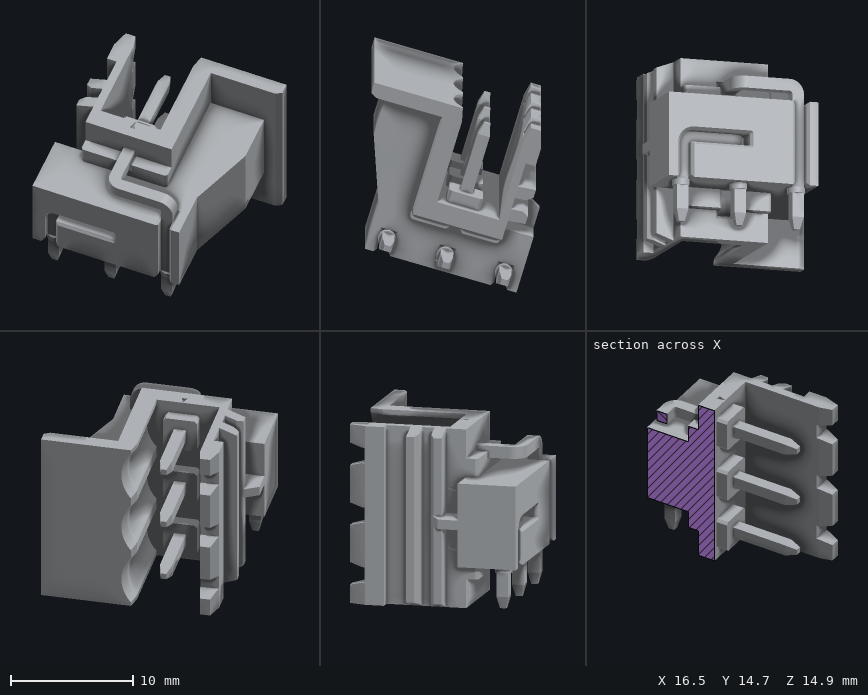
import cadquery as cq
import math


pitch = 5.0
row = (-pitch, 0, pitch)
wire = 1.0
bend_inner = 0.2
bend_radius = bend_inner + wire / 2
bend_outer = bend_inner + wire
point_length = 1.0
point_width = 0.5
contact_tip_y = 8.55
solder_tip_z = -7.0
solder_y = -3.5
lower_riser_y = -0.23
lower_bridge_z = -pitch / 2
flare = 0.22

height = 14.95
shell_half = 3.8
cavity_left = -3.1
cavity_right = 2.2
floor_top = 1.55
rim_y = 9.75
lead_in_depth = 1.1
lead_in_width = 0.25
hook_x = -4.65
hook_bottom_y = 6.75
hook_taper_depth = 1.4
hook_taper_width = 0.45
flange_end = 10.0
flange_thickness = 1.2
flange_chamfer_x = 0.5
flange_chamfer_y = 0.3

bore_radius = 3.0
boss_side = 2.85
boss_height = 1.0
boss_chamfer = 0.22
notch_mouth = 1.9
notch_bottom = 1.3
notch_depth = 1.35

pad_depth = 1.0
pad_half_height = 5.05
pad_corner = 0.3
block_half_height = 3.5
block_left = -6.5
block_right = 6.45
block_front = -4.9
web_right = 8.5
web_bend_y = 4.5
pocket_end = 0.6

rib_x = -5.3
rib_width = 1.0
rib_low_y = 1.7
rib_high_y = 3.7
rib_chamfer_x = 0.5
rib_chamfer_y = 0.33
rib_end_drop = 0.55
gusset_thickness = 0.8
arrow_length = 0.72
arrow_half_width = 0.23
arrow_depth = 0.2

collar_diameter = 1.45
collar_height = 0.5


def box(x0, x1, y0, y1, z0, z1):
    return cq.Workplane("XY").box(x1 - x0, y1 - y0, z1 - z0, centered=False).translate((x0, y0, z0))


def plan_prism(points, half_height):
    """Prism with the given XY outline, centred on Z = 0."""
    return cq.Workplane("XY").polyline(points).close().extrude(half_height, both=True)


def unit_direction(start, end):
    return (cq.Vector(*end) - cq.Vector(*start)).normalized()


def wire_point(tip, direction):
    """Tapered wire end, from its full square section to the blunt tip."""
    base = cq.Vector(*tip) - direction * point_length
    plane = cq.Plane(origin=base.toTuple(), xDir=(1, 0, 0), normal=direction.toTuple())
    return (cq.Workplane(plane).rect(wire, wire).workplane(offset=point_length)
            .rect(point_width, point_width).loft(combine=True))


def bent_wire(corners):
    """Square wire along a line of axis-parallel legs, with rounded bends and tapered ends."""
    directions = [unit_direction(a, b) for a, b in zip(corners, corners[1:])]
    start = cq.Vector(*corners[0]) + directions[0] * point_length
    end = cq.Vector(*corners[-1]) - directions[-1] * point_length
    edges = []
    position = start
    for corner, incoming, outgoing in zip(corners[1:], directions, directions[1:]):
        bend_start = cq.Vector(*corner) - incoming * bend_radius
        bend_end = cq.Vector(*corner) + outgoing * bend_radius
        chord_offset = (outgoing - incoming) * (bend_radius * (1 - math.sqrt(0.5)))
        bend_middle = cq.Vector(*corner) + chord_offset
        edges.append(cq.Edge.makeLine(position, bend_start))
        edges.append(cq.Edge.makeThreePointArc(bend_start, bend_middle, bend_end))
        position = bend_end
    edges.append(cq.Edge.makeLine(position, end))
    path = cq.Workplane(cq.Wire.assembleEdges(edges))
    plane = cq.Plane(origin=start.toTuple(), xDir=(1, 0, 0), normal=directions[0].toTuple())
    body = cq.Workplane(plane).rect(wire, wire).sweep(path)
    body = body.union(wire_point(corners[0], directions[0] * -1))
    return body.union(wire_point(corners[-1], directions[-1]))


def upper_pin():
    return bent_wire([(0, contact_tip_y, pitch), (0, solder_y, pitch),
                      (pitch, solder_y, pitch), (pitch, solder_y, solder_tip_z)])


def middle_pin():
    return bent_wire([(0, contact_tip_y, 0), (0, solder_y, 0),
                      (-pitch, solder_y, 0), (-pitch, solder_y, solder_tip_z)])


def lower_pin():
    return bent_wire([(0, contact_tip_y, -pitch), (0, lower_riser_y, -pitch),
                      (0, lower_riser_y, lower_bridge_z), (0, solder_y, lower_bridge_z),
                      (0, solder_y, solder_tip_z)])


def collar(x):
    blank = (cq.Workplane("XY").workplane(offset=-block_half_height - collar_height)
             .center(x, solder_y).circle(collar_diameter / 2).extrude(collar_height))
    half = wire / 2
    return blank.cut(box(x - half, x + half, solder_y - half, solder_y + half,
                         -block_half_height - collar_height, -block_half_height))


def shell():
    """U-shaped socket with the latch hook on the left and the flange on the right."""
    flange_bottom = rim_y - flange_thickness
    lead_in_y = rim_y - lead_in_depth
    outline = [
        (-shell_half, 0), (shell_half, 0), (shell_half, flange_bottom),
        (flange_end - flange_chamfer_x, flange_bottom),
        (flange_end, flange_bottom + flange_chamfer_y), (flange_end, rim_y),
        (cavity_right + lead_in_width, rim_y), (cavity_right, lead_in_y),
        (cavity_right, floor_top), (cavity_left, floor_top), (cavity_left, lead_in_y),
        (cavity_left - lead_in_width, rim_y), (hook_x + hook_taper_width, rim_y),
        (hook_x, rim_y - hook_taper_depth), (hook_x, hook_bottom_y), (-shell_half, hook_bottom_y),
    ]
    return plan_prism(outline, height / 2)


def bore(z):
    """Round seat for one plug contact, with a conical lead-in at the rim."""
    outline = [(0, floor_top), (bore_radius, floor_top), (bore_radius, rim_y - lead_in_depth),
               (bore_radius + lead_in_width, rim_y), (0, rim_y)]
    seat = cq.Workplane("XY").polyline(outline).close().revolve(360, (0, 0), (0, 1))
    return seat.translate((0, 0, z))


def boss(z):
    half = boss_side / 2
    block = box(-half, half, floor_top, floor_top + boss_height, z - half, z + half)
    return block.edges("|Y").chamfer(boss_chamfer)


def hook_notch(z):
    """Gap through the hook tip that tapers along the lead-in and ends in a straight slot."""
    mouth = notch_mouth / 2
    bottom = notch_bottom / 2
    taper_y = rim_y - lead_in_depth
    floor_y = rim_y - notch_depth
    outline = [(rim_y, -mouth), (rim_y, mouth), (taper_y, bottom),
               (floor_y, bottom), (floor_y, -bottom), (taper_y, -bottom)]
    notch = (cq.Workplane("YZ").workplane(offset=hook_x)
             .polyline(outline).close().extrude(cavity_left - hook_x))
    return notch.translate((0, 0, z))


def pad():
    block = box(-shell_half, shell_half, -pad_depth, 0, -pad_half_height, pad_half_height)
    return block.edges("|Z and <Y").fillet(pad_corner)


def pin_block():
    """Block that holds the solder pins, with the web that stiffens the right wall."""
    outline = [(block_left, block_front), (block_right, block_front), (block_right, -pad_depth),
               (web_right, web_bend_y), (web_right, rim_y - flange_thickness),
               (shell_half, rim_y - flange_thickness), (shell_half, 0), (block_left, 0)]
    return plan_prism(outline, block_half_height)


def rib(outline):
    """Rib along the left wall; its ends fall away towards the free edge."""
    root_z = height / 2
    tip_z = root_z - rib_end_drop
    side = (cq.Workplane("XZ")
            .polyline([(-shell_half, -root_z), (-shell_half, root_z), (rib_x, tip_z), (rib_x, -tip_z)])
            .close().extrude(-rim_y))
    return plan_prism(outline, root_z).intersect(side)


def ribs():
    chamfer_x = rib_x + rib_chamfer_x
    low_top = rib_low_y + rib_width
    low = [(-shell_half, rib_low_y), (rib_x, rib_low_y), (rib_x, low_top - rib_chamfer_y),
           (chamfer_x, low_top), (-shell_half, low_top)]
    high_top = rib_high_y + rib_width
    high = [(-shell_half, rib_high_y), (chamfer_x, rib_high_y), (rib_x, rib_high_y + rib_chamfer_y),
            (rib_x, high_top), (-shell_half, high_top)]
    return rib(low).union(rib(high))


def gusset():
    top = rib_low_y + rib_width
    outline = [(block_left, 0), (block_left, rib_low_y), (rib_x + rib_chamfer_x, top),
               (-shell_half, top), (-shell_half, 0)]
    return plan_prism(outline, gusset_thickness / 2)


def arrow_marks():
    """Engraved arrows: one on the top face and two on the left wall."""
    base_y = floor_top - arrow_length
    top = (cq.Workplane("XY").workplane(offset=height / 2 - arrow_depth)
           .polyline([(-arrow_half_width, base_y), (arrow_half_width, base_y), (0, floor_top)])
           .close().extrude(arrow_depth))
    side = (cq.Workplane("YZ").workplane(offset=-shell_half)
            .polyline([(base_y, -arrow_half_width), (base_y, arrow_half_width), (floor_top, 0)])
            .close().extrude(arrow_depth))
    marks = top
    for z in (-pitch / 2, pitch / 2):
        marks = marks.union(side.translate((0, 0, z)))
    return marks


def flared_mouth(origin, inward):
    """Square lead-in around a wire opening, narrowing along the inward normal."""
    plane = cq.Plane(origin=origin, xDir=(1, 0, 0), normal=inward)
    mouth = wire + 2 * flare
    return (cq.Workplane(plane).rect(mouth, mouth).workplane(offset=flare)
            .rect(wire, wire).loft(combine=True))


def flared_slot(x, front_y, back_y, z0, z1):
    """Vertical wire slot that is open to the front, with chamfered front edges."""
    half = wire / 2
    mouth = half + flare
    outline = [(x - mouth, front_y), (x + mouth, front_y), (x + half, front_y + flare),
               (x + half, back_y), (x - half, back_y), (x - half, front_y + flare)]
    return cq.Workplane("XY").workplane(offset=z0).polyline(outline).close().extrude(z1 - z0)


def slot_edge_chamfer(x, z, inward, front_y, back_y):
    """Chamfer along both edges where a slot opens onto a top (inward = -1) or bottom (+1) face."""
    half = wire / 2
    mouth = half + flare
    root_z = z + inward * flare
    outline = [(x - mouth, z), (x + mouth, z), (x + half, root_z), (x - half, root_z)]
    return cq.Workplane("XZ", origin=(0, back_y, 0)).polyline(outline).close().extrude(back_y - front_y)


def middle_pocket():
    """L-shaped pocket in the block front for the middle wire, with chamfered front edges."""
    half = wire / 2
    bottom = -block_half_height - wire
    back_y = solder_y + half
    lead_in_y = block_front + flare

    def outline(y):
        return (cq.Workplane("XZ", origin=(0, y, 0))
                .moveTo(pocket_end, half).lineTo(-pitch - half + bend_outer, half)
                .radiusArc((-pitch - half, half - bend_outer), -bend_outer)
                .lineTo(-pitch - half, bottom).lineTo(-pitch + half, bottom)
                .lineTo(-pitch + half, -half).lineTo(pocket_end, -half).close())

    pocket = outline(back_y).extrude(back_y - block_front)
    lead_in = outline(lead_in_y).extrude(flare, taper=-45)
    return pocket.union(lead_in)


def wire_openings():
    """Slots and lead-ins around the wires, beyond the wires' own passages."""
    half = wire / 2
    back_y = solder_y + half
    top = block_half_height
    openings = [
        flared_slot(pitch, block_front, back_y, -top, top),
        middle_pocket(),
        flared_slot(0, -pad_depth, lower_riser_y, -pitch - half, -top),
        flared_mouth((pitch, solder_y, top), (0, 0, -1)),
        slot_edge_chamfer(pitch, top, -1, block_front, solder_y),
        flared_mouth((0, -pad_depth, pitch), (0, 1, 0)),
        slot_edge_chamfer(0, pad_half_height, -1, -pad_depth, 0),
    ]
    for x in row:
        openings.append(flared_mouth((x, solder_y, -top), (0, 0, 1)))
    for x in (-pitch, pitch):
        openings.append(slot_edge_chamfer(x, -top, 1, block_front, solder_y))
    for z in (-pitch, pitch):
        openings.append(flared_mouth((0, 0, z), (0, 1, 0)))
    return openings


def housing(pins):
    body = shell()
    for z in row:
        body = body.cut(bore(z)).cut(hook_notch(z))
    for z in row:
        body = body.union(boss(z))
    for part in (pad(), pin_block(), ribs(), gusset()):
        body = body.union(part)
    for space in [arrow_marks(), *wire_openings(), *pins]:
        body = body.cut(space)
    return body


pins = [upper_pin(), middle_pin(), lower_pin()]
collars = [collar(x) for x in row]
moulding = housing(pins)

result = cq.Compound.makeCompound(
    [moulding.val()] + [pin.val() for pin in pins] + [ring.val() for ring in collars])